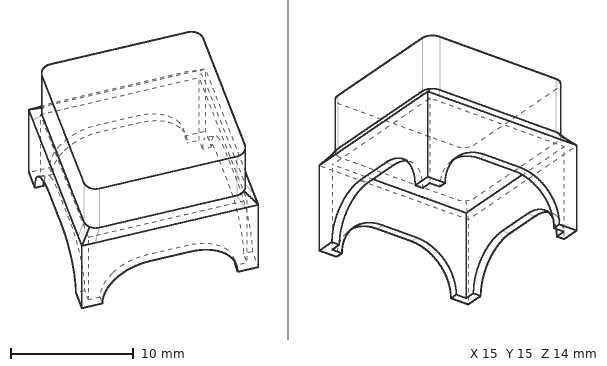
import cadquery as cq
import math

SKIRT_WIDTH = 15.0
SKIRT_HEIGHT = 8.0
WALL = 0.75

SHOULDER_HEIGHT = 1.0
CAP_WIDTH = 13.71
CAP_HEIGHT = 5.0
CAP_CORNER_RADIUS = 1.0

ARCH_WIDTH = 11.5
ARCH_HEIGHT = 4.0
ARCH_RADIUS = ARCH_HEIGHT

SIDES = 4
QUARTER_TURN = 360 / SIDES
HALF_CORNER = QUARTER_TURN / 2

CAVITY_WIDTH = SKIRT_WIDTH - 2 * WALL
CAP_BASE = SKIRT_HEIGHT + SHOULDER_HEIGHT


def square_block(width, height):
    """Square block standing on the ground plane, centred on the Z axis."""
    return cq.Workplane("XY").rect(width, width).extrude(height)


def rotated(point, degrees):
    """Turn a point about the origin."""
    angle = math.radians(degrees)
    x, y = point
    return (x * math.cos(angle) - y * math.sin(angle), x * math.sin(angle) + y * math.cos(angle))


def arc_point(arc_centre, degrees):
    """Point on the cap corner arc whose centre is at (arc_centre, arc_centre)."""
    angle = math.radians(degrees)
    return (
        arc_centre + CAP_CORNER_RADIUS * math.cos(angle),
        arc_centre + CAP_CORNER_RADIUS * math.sin(angle),
    )


def shoulder():
    """Ruled transition from the square skirt to the rounded cap.

    Both outlines have the same twelve edges: four long sides, and two short edges at every
    corner. The short edges are straight on the skirt and half corner arcs on the cap.
    """
    half_skirt = SKIRT_WIDTH / 2
    half_cap = CAP_WIDTH / 2
    cap_straight = half_cap - CAP_CORNER_RADIUS
    skirt_straight = cap_straight * SKIRT_WIDTH / CAP_WIDTH

    skirt_outline = cq.Workplane("XY").workplane(offset=SKIRT_HEIGHT).moveTo(half_skirt, -skirt_straight)
    cap_outline = cq.Workplane("XY").workplane(offset=CAP_BASE).moveTo(half_cap, -cap_straight)
    for quarter in range(SIDES):
        turn = QUARTER_TURN * quarter
        for corner_point in (
            (half_skirt, skirt_straight),
            (half_skirt, half_skirt),
            (skirt_straight, half_skirt),
        ):
            skirt_outline = skirt_outline.lineTo(*rotated(corner_point, turn))

        cap_outline = cap_outline.lineTo(*rotated((half_cap, cap_straight), turn))
        for start_angle in (0, HALF_CORNER):
            middle = rotated(arc_point(cap_straight, start_angle + HALF_CORNER / 2), turn)
            end = rotated(arc_point(cap_straight, start_angle + HALF_CORNER), turn)
            cap_outline = cap_outline.threePointArc(middle, end)

    skirt_wire = skirt_outline.wire().val()
    cap_wire = cap_outline.wire().val()
    return cq.Workplane(cq.Solid.makeLoft([skirt_wire, cap_wire], True))


def cap():
    """Solid upper block with rounded vertical edges."""
    block = cq.Workplane("XY").workplane(offset=CAP_BASE).rect(CAP_WIDTH, CAP_WIDTH).extrude(CAP_HEIGHT)
    return block.edges("|Z").fillet(CAP_CORNER_RADIUS)


def arch_cutter(plane):
    """Bar with two rounded top edges that opens two opposite walls of the skirt."""
    half_width = ARCH_WIDTH / 2
    half_flat = half_width - ARCH_RADIUS
    return (
        cq.Workplane(plane)
        .moveTo(-half_width, 0)
        .radiusArc((-half_flat, ARCH_HEIGHT), ARCH_RADIUS)
        .lineTo(half_flat, ARCH_HEIGHT)
        .radiusArc((half_width, 0), ARCH_RADIUS)
        .close()
        .extrude(SKIRT_WIDTH / 2, both=True)
    )


body = square_block(SKIRT_WIDTH, SKIRT_HEIGHT).union(shoulder()).union(cap())

body = body.cut(square_block(CAVITY_WIDTH, SKIRT_HEIGHT))
for side_plane in ("XZ", "YZ"):
    body = body.cut(arch_cutter(side_plane))

result = body